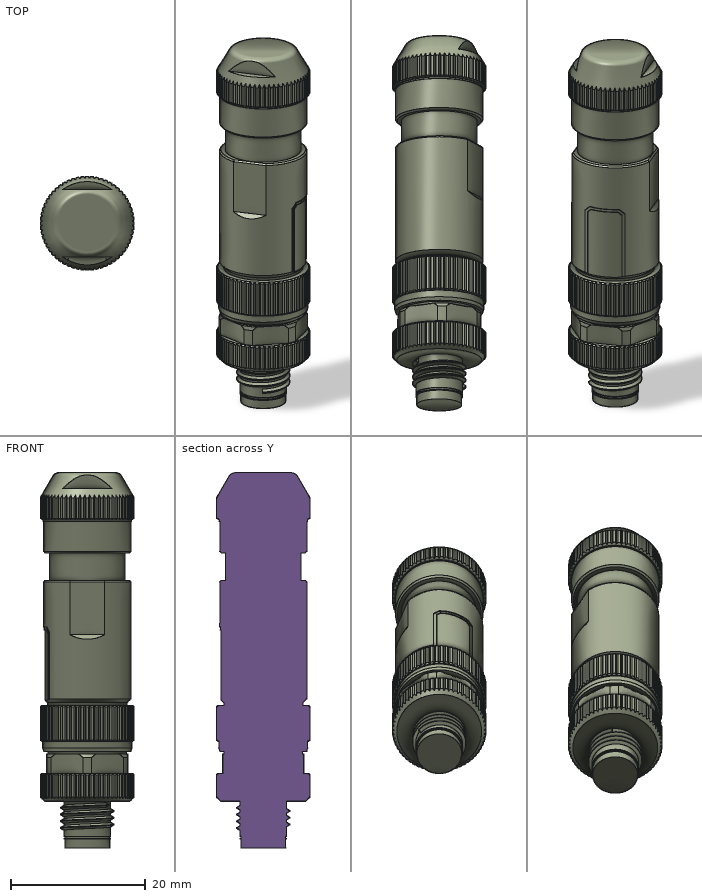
import cadquery as cq
import math

TIP_Z = 0.0
TIP_TOP_Z = 1.35
GROOVE_BOTTOM_Z = 1.45
GROOVE_TOP_Z = 1.75
COUPLING_BOTTOM_Z = 6.95
HEX_BOTTOM_Z = 11.1
HEX_TOP_Z = 14.0
COLLAR_BOTTOM_Z = 14.35
GRIP_BOTTOM_Z = 15.9
GRIP_TOP_Z = 21.25
BODY_BOTTOM_Z = 21.65
BODY_TOP_Z = 39.85
SLEEVE_BOTTOM_Z = 43.9
CAP_BOTTOM_Z = 48.65
CAP_RIM_TOP_Z = 48.85
CAP_KNURL_TOP_Z = 52.1
CAP_CONE_Z = 52.45
CAP_FLAT_Z = 53.5
TOTAL_HEIGHT = 55.9

KNURL_R = 7.0
TIP_R = 3.35
SHANK_R = 7.0 / 2
GROOVE_R = 3.35
NECK_R = 5.65
BODY_R = 13.0 / 2
BODY_FOOT_R = 5.9
COLLAR_R = 6.65
LOWER_NECK_R = 5.85
CAP_RIM_R = 6.6
CAP_CONE_R = 6.8
CAP_TOP_R = 4.8

BODY_TOP_CHAMFER = 0.2
BODY_FOOT_CHAMFER = BODY_R - BODY_FOOT_R
COLLAR_TAPER = 0.15
COLLAR_TAPER_HEIGHT = 0.5
SLEEVE_CHAMFER = 0.3
KNURL_CHAMFER = 0.2
COUPLING_CHAMFER = 0.65
CAP_TOP_FILLET = 1.1

TOOTH_COUNT = 60
TOOTH_DEPTH = 0.2
TIP_SHARE = 0.5

THREAD_PITCH = 1.0
THREAD_R = 3.95
THREAD_TURNS = 3.6
THREAD_START_Z = 2.8
THREAD_START_ANGLE = 108
THREAD_ROOT_WIDTH = 0.85
THREAD_CREST_WIDTH = 0.1
THREAD_OVERLAP = 0.1

HEX_ACROSS_FLATS = 12.1
HEX_CORNER_R = 13.25 / 2
HEX_CHAMFER_R = 6.4
HEX_CHAMFER_HEIGHT = 0.5

BODY_FLAT_Y = 6.0
BODY_FLAT_Z = 31.75
BODY_FLAT_RAMP = 0.65
CAP_FLAT_Y = 10.0 / 2

PANEL_TOP_Z = 32.9
PANEL_WIDTH = 6.15
PANEL_CORNER = 0.8
PANEL_WALL = 0.45
PANEL_DEPTH = 0.195


def turned(points):
    """Revolve a closed (radius, height) outline about the Z axis."""
    return cq.Workplane("XZ").polyline(points).close().revolve(360, (0, 0), (0, 1))


def turned_between(bottom, top, radius, bottom_chamfer=0.0, top_chamfer=0.0):
    """A turned cylinder with optional 45-degree chamfers at its two ends."""
    solid = cq.Workplane("XY").workplane(offset=bottom).circle(radius).extrude(top - bottom)
    if bottom_chamfer:
        solid = solid.faces("<Z").edges().chamfer(bottom_chamfer)
    if top_chamfer:
        solid = solid.faces(">Z").edges().chamfer(top_chamfer)
    return solid


def knurled(blank):
    """Cut straight axial teeth into the outside of a turned blank."""
    pitch = 2 * math.pi / TOOTH_COUNT
    outline = []
    for tooth in range(TOOTH_COUNT):
        middle = tooth * pitch
        for radius, offset in (
            (KNURL_R, -TIP_SHARE / 2),
            (KNURL_R, TIP_SHARE / 2),
            (KNURL_R - TOOTH_DEPTH, 0.5),
        ):
            angle = middle + offset * pitch
            outline.append((radius * math.cos(angle), radius * math.sin(angle)))
    teeth = cq.Workplane("XY").polyline(outline).close().extrude(TOTAL_HEIGHT)
    return blank.intersect(teeth)


def mirrored_cut(solid, cutter):
    """Remove a cutter from the -Y side and its mirror image from the +Y side."""
    return solid.cut(cutter).cut(cutter.mirror("XZ"))


def make_shank():
    tip = turned_between(TIP_Z, TIP_TOP_Z, TIP_R)
    lip = turned_between(TIP_TOP_Z, GROOVE_BOTTOM_Z, SHANK_R)
    groove = turned_between(GROOVE_BOTTOM_Z, GROOVE_TOP_Z, GROOVE_R)
    shank = turned_between(GROOVE_TOP_Z, COUPLING_BOTTOM_Z, SHANK_R)
    return tip.union(lip).union(groove).union(shank)


def make_thread():
    inner_r = SHANK_R - THREAD_OVERLAP
    path = cq.Wire.makeHelix(THREAD_PITCH, THREAD_PITCH * THREAD_TURNS, inner_r)
    ridge = (
        cq.Workplane("XZ")
        .polyline([
            (inner_r, -THREAD_ROOT_WIDTH / 2),
            (THREAD_R, -THREAD_CREST_WIDTH / 2),
            (THREAD_R, THREAD_CREST_WIDTH / 2),
            (inner_r, THREAD_ROOT_WIDTH / 2),
        ])
        .close()
        .sweep(cq.Workplane(path), isFrenet=True)
    )
    return ridge.rotate((0, 0, 0), (0, 0, 1), THREAD_START_ANGLE).translate((0, 0, THREAD_START_Z))


def make_coupling_ring():
    return knurled(
        turned_between(COUPLING_BOTTOM_Z, HEX_BOTTOM_Z, KNURL_R, COUPLING_CHAMFER, KNURL_CHAMFER)
    )


def make_hexagon():
    """Hexagon with flats facing +X and -X, its corners turned off and its top chamfered."""
    corner_diameter = HEX_ACROSS_FLATS / math.cos(math.pi / 6)
    hexagon = (
        cq.Workplane("XY")
        .workplane(offset=HEX_BOTTOM_Z)
        .transformed(rotate=(0, 0, 30))
        .polygon(6, corner_diameter)
        .extrude(HEX_TOP_Z - HEX_BOTTOM_Z)
    )
    return hexagon.intersect(turned([
        (0, HEX_BOTTOM_Z),
        (HEX_CORNER_R, HEX_BOTTOM_Z),
        (HEX_CORNER_R, HEX_TOP_Z - HEX_CHAMFER_HEIGHT),
        (HEX_CHAMFER_R, HEX_TOP_Z),
        (0, HEX_TOP_Z),
    ]))


def make_grip_ring():
    neck = turned_between(HEX_TOP_Z, COLLAR_BOTTOM_Z, LOWER_NECK_R)
    collar = turned([
        (0, COLLAR_BOTTOM_Z),
        (COLLAR_R - COLLAR_TAPER, COLLAR_BOTTOM_Z),
        (COLLAR_R, COLLAR_BOTTOM_Z + COLLAR_TAPER_HEIGHT),
        (COLLAR_R, GRIP_BOTTOM_Z),
        (0, GRIP_BOTTOM_Z),
    ])
    grip = knurled(turned_between(GRIP_BOTTOM_Z, GRIP_TOP_Z, KNURL_R, KNURL_CHAMFER, KNURL_CHAMFER))
    foot = turned_between(GRIP_TOP_Z, BODY_BOTTOM_Z, BODY_FOOT_R)
    return neck.union(collar).union(grip).union(foot)


def panel_prism(inset):
    """Panel outline, shrunk by an inset, pushed from the axis out through the -X side."""
    half_width = PANEL_WIDTH / 2 - inset
    top = PANEL_TOP_Z - inset
    corner = PANEL_CORNER - inset * (2 - math.sqrt(2))
    return (
        cq.Workplane("YZ")
        .polyline([
            (-half_width, BODY_BOTTOM_Z),
            (half_width, BODY_BOTTOM_Z),
            (half_width, top - corner),
            (half_width - corner, top),
            (corner - half_width, top),
            (-half_width, top - corner),
        ])
        .close()
        .extrude(-KNURL_R)
    )


def make_body():
    body = turned_between(BODY_BOTTOM_Z, BODY_TOP_Z, BODY_R, BODY_FOOT_CHAMFER)

    ramp = BODY_FLAT_RAMP * (KNURL_R - BODY_FLAT_Y) / (BODY_R - BODY_FLAT_Y)
    flat_cutter = (
        cq.Workplane("YZ")
        .polyline([
            (-BODY_FLAT_Y, BODY_TOP_Z),
            (-BODY_FLAT_Y, BODY_FLAT_Z),
            (-KNURL_R, BODY_FLAT_Z - ramp),
            (-KNURL_R, BODY_TOP_Z),
        ])
        .close()
        .extrude(KNURL_R, both=True)
    )
    body = mirrored_cut(body, flat_cutter)

    body = body.faces(">Z").edges().chamfer(BODY_TOP_CHAMFER)

    for inset, depth in ((0, PANEL_DEPTH / 2), (PANEL_WALL, PANEL_DEPTH)):
        core = turned_between(BODY_BOTTOM_Z, BODY_TOP_Z, BODY_R - depth)
        body = body.cut(panel_prism(inset).cut(core))
    return body


def make_neck_and_sleeve():
    neck = turned_between(BODY_TOP_Z, SLEEVE_BOTTOM_Z, NECK_R)
    sleeve = turned_between(SLEEVE_BOTTOM_Z, CAP_BOTTOM_Z, BODY_R, SLEEVE_CHAMFER)
    return neck.union(sleeve)


def make_cap():
    blank = turned([
        (0, CAP_BOTTOM_Z),
        (CAP_RIM_R, CAP_BOTTOM_Z),
        (CAP_RIM_R, CAP_RIM_TOP_Z),
        (KNURL_R, CAP_RIM_TOP_Z + KNURL_CHAMFER),
        (KNURL_R, CAP_KNURL_TOP_Z),
        (CAP_CONE_R, CAP_CONE_Z),
        (CAP_TOP_R, TOTAL_HEIGHT),
        (0, TOTAL_HEIGHT),
    ])
    blank = blank.faces(">Z").edges().fillet(CAP_TOP_FILLET)
    flat_cutter = (
        cq.Workplane("XY")
        .workplane(offset=CAP_FLAT_Z)
        .center(0, -CAP_FLAT_Y - KNURL_R / 2)
        .rect(2 * KNURL_R, KNURL_R)
        .extrude(TOTAL_HEIGHT - CAP_FLAT_Z)
    )
    return mirrored_cut(knurled(blank), flat_cutter)


result = (
    make_shank()
    .union(make_thread())
    .union(make_coupling_ring())
    .union(make_hexagon())
    .union(make_grip_ring())
    .union(make_body())
    .union(make_neck_and_sleeve())
    .union(make_cap())
)